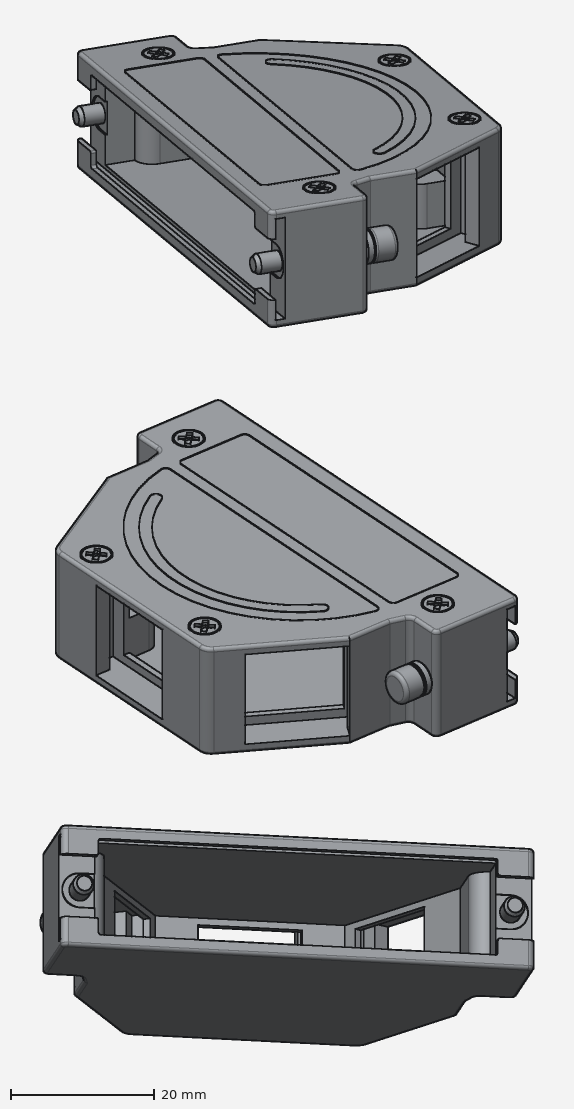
import cadquery as cq
import math

half_length = 33.55
half_height = 8.8
depth = 42.95
shoulder_y = 15.1
neck_half = 27.1
neck_start_y = 18.1
neck_end_y = 25.2
neck_foot_half = 28.0
slope_angle = 60.0
edge_round = 0.55
end_corner_round = 0.95
neck_foot_round = 1.0
back_corner_round = 2.15

cavity_half = 28.45
cavity_half_height = 7.0
cavity_throat_half = 25.8
cavity_round_start_y = 6.8
port_wall = 6.0

lip_thickness = 0.9
flange_slot_end_y = 2.3
flange_slot_half_height = 7.6
lip_opening_half = 28.3
lip_opening_round = 0.4
lip_gap_half_height = 4.55
lip_tip_round = 0.3

port_length = 14.75
port_lip_half_height = 6.0
port_outer_half_height = 7.4
port_mouth_depth = 2.4
port_groove_overlap = 2.4
port_lip_thickness = 1.0

post_radius = 2.15
post_x = port_length / 2 + post_radius
post_y = 33.55
post_top_z = -0.3

panel_depth = 0.15
panel_round = 0.8
label_half = 23.95
label_start_y = 2.95
label_end_y = 15.1
arc_center_y = 12.6
arc_radius = 24.5
arc_base_y = 17.1
rib_radius = 21.4
rib_width = 1.8
rib_half_angle = 60.0

case_screw_points = [(-27.8, 10.05), (27.8, 10.05), (-12.1, 39.1), (12.1, 39.1)]
case_screw_radius = 2.1
case_screw_gap = 0.2
case_screw_gap_depth = 0.2
cross_length = 2.9
cross_width = 0.8
cross_depth = 0.4
cross_hub_width = 1.35
cross_hub_depth = 0.8

jack_x = 30.5
jack_shaft_radius = 1.5
jack_tip_y = -1.3
jack_tip_chamfer = 0.4
jack_tip_length = 0.7
jack_collar_radius = 2.5
jack_collar_end_y = 16.25
jack_collar_chamfer = 0.2
jack_groove_radius = 2.35
jack_head_radius = 2.5
jack_head_start_y = 16.5
jack_head_end_y = 19.9
jack_head_top_round = 0.6
jack_head_base_round = 0.3
jack_seat_radius = jack_head_radius
jack_seat_depth = 0.3

slope_cos = math.cos(math.radians(slope_angle))
slope_sin = math.sin(math.radians(slope_angle))
back_half = neck_half - (depth - neck_end_y) * slope_cos / slope_sin


def box(x_range, y_range, z_half):
    """Box centred on Z = 0 with the given X and Y limits."""
    size_x = x_range[1] - x_range[0]
    size_y = y_range[1] - y_range[0]
    block = cq.Workplane("XY").box(size_x, size_y, 2 * z_half, centered=(False, False, True))
    return block.translate((x_range[0], y_range[0], 0))


def mirrored(solid):
    """The solid together with its mirror image across X = 0."""
    return solid.union(solid.mirror("YZ"))


def shell():
    right = [
        (half_length, 0),
        (half_length, shoulder_y),
        (neck_foot_half, shoulder_y),
        (neck_half, neck_start_y),
        (neck_half, neck_end_y),
        (back_half, depth),
    ]
    left = [(-x, y) for x, y in reversed(right)]
    body = cq.Workplane("XY").workplane(offset=-half_height)
    body = body.polyline(right + left).close().extrude(2 * half_height)
    rounds = [
        (right[0], end_corner_round),
        (right[1], end_corner_round),
        (right[2], neck_foot_round),
        (right[5], back_corner_round),
    ]
    for (x, y), radius in rounds:
        for side in (1, -1):
            corner = cq.selectors.NearestToPointSelector((side * x, y, 0))
            body = body.edges(corner).fillet(radius)
    return body.faces("|Z").edges().fillet(edge_round)


def sloping_inner_x(y):
    """X of the inner face of the right sloping wall."""
    return neck_half - port_wall / slope_sin - (y - neck_end_y) * slope_cos / slope_sin


def cavity():
    round_radius = cavity_half - cavity_throat_half
    round_end_y = cavity_round_start_y + round_radius
    round_mid = round_radius * math.sqrt(0.5)
    back_y = depth - port_wall
    slope_start_y = neck_end_y + (
        (neck_half - port_wall / slope_sin - cavity_throat_half) * slope_sin / slope_cos
    )
    half = (
        cq.Workplane("XY").workplane(offset=-cavity_half_height)
        .moveTo(0, flange_slot_end_y)
        .lineTo(cavity_half, flange_slot_end_y)
        .lineTo(cavity_half, cavity_round_start_y)
        .threePointArc(
            (cavity_half - round_mid, round_end_y - round_mid),
            (cavity_throat_half, round_end_y),
        )
        .lineTo(cavity_throat_half, slope_start_y)
        .lineTo(sloping_inner_x(back_y), back_y)
        .lineTo(0, back_y)
        .close()
        .extrude(2 * cavity_half_height)
    )
    return mirrored(half)


def mating_opening():
    slot = box((-half_length, half_length), (lip_thickness, flange_slot_end_y), flange_slot_half_height)
    lip = box((-lip_opening_half, lip_opening_half), (0, lip_thickness), cavity_half_height)
    lip = lip.edges("|Y").fillet(lip_opening_round)
    gap = box((-half_length, half_length), (0, lip_thickness), lip_gap_half_height)
    opening = lip.union(gap)
    for x in (-lip_opening_half, lip_opening_half):
        for z in (-lip_gap_half_height, lip_gap_half_height):
            tip = cq.selectors.NearestToPointSelector((x, lip_thickness / 2, z))
            opening = opening.edges(tip).fillet(lip_tip_round)
    return opening.union(slot)


def port_cutter():
    """Port through a wall whose outer face is Y = 0: mouth, wider insert groove and inner lip."""
    half = port_length / 2
    groove_half = half + port_groove_overlap
    groove_end = port_wall - port_lip_thickness
    mouth = box((-half, half), (-port_mouth_depth, 0), port_outer_half_height)
    groove = box((-groove_half, groove_half), (-groove_end, -port_mouth_depth), port_outer_half_height)
    lip = box((-half, half), (-port_wall, -groove_end), port_lip_half_height)
    return mouth.union(groove).union(lip)


def side_ports():
    """The ports of the two sloping walls; each mouth starts at the corner with the neck."""
    port = port_cutter().translate((port_length / 2, 0, 0))
    port = port.rotate((0, 0, 0), (0, 0, 1), slope_angle)
    return mirrored(port.translate((-neck_half, neck_end_y, 0)))


def back_port():
    return port_cutter().translate((0, depth, 0))


def post():
    height = post_top_z + cavity_half_height
    base = cq.Workplane("XY").workplane(offset=-cavity_half_height)
    column = base.center(post_x, post_y).circle(post_radius).extrude(height)
    web_length = depth - port_wall - post_y
    web = base.center(post_x, post_y + web_length / 2).rect(2 * post_radius, web_length).extrude(height)
    return column.union(web)


def label_panel():
    label = (
        cq.Workplane("XY").workplane(offset=half_height - panel_depth)
        .center(0, (label_start_y + label_end_y) / 2)
        .rect(2 * label_half, label_end_y - label_start_y)
        .extrude(panel_depth)
    )
    return label.edges("|Z").fillet(panel_round)


def arc_panel():
    """Circular segment panel with a curved rib left standing inside it."""
    plane = cq.Workplane("XY").workplane(offset=half_height - panel_depth)
    base_half = math.sqrt(arc_radius**2 - (arc_base_y - arc_center_y) ** 2)
    segment = (
        plane.moveTo(-base_half, arc_base_y)
        .threePointArc((0, arc_center_y + arc_radius), (base_half, arc_base_y))
        .close()
        .extrude(panel_depth)
        .edges("|Z").fillet(panel_round)
    )
    rib_sin = math.sin(math.radians(rib_half_angle))
    rib_cos = math.cos(math.radians(rib_half_angle))
    end_x = rib_radius * rib_sin
    end_y = arc_center_y + rib_radius * rib_cos
    outer_radius = rib_radius + rib_width / 2
    inner_radius = rib_radius - rib_width / 2
    ring = plane.center(0, arc_center_y).circle(outer_radius).circle(inner_radius).extrude(panel_depth)
    sector_side = arc_radius / rib_cos
    sector_x = sector_side * rib_sin
    sector_y = arc_center_y + sector_side * rib_cos
    sector = (
        plane.moveTo(0, arc_center_y)
        .lineTo(sector_x, sector_y)
        .lineTo(-sector_x, sector_y)
        .close()
        .extrude(panel_depth)
    )
    ends = plane.pushPoints([(-end_x, end_y), (end_x, end_y)]).circle(rib_width / 2).extrude(panel_depth)
    return segment.cut(ring.intersect(sector).union(ends))


def case_screw_recesses():
    gap = cq.Workplane("XY").workplane(offset=half_height - case_screw_gap_depth)
    gap = gap.circle(case_screw_radius + case_screw_gap).circle(case_screw_radius)
    head = gap.extrude(case_screw_gap_depth)
    cross = cq.Workplane("XY").workplane(offset=half_height)
    hub = cross.rect(cross_hub_width, cross_hub_width).extrude(-cross_hub_depth)
    head = head.union(hub)
    for angle in (45, 135):
        bar = cross.transformed(rotate=(0, 0, angle)).rect(cross_length, cross_width)
        head = head.union(bar.extrude(-cross_depth))
    recesses = cq.Workplane("XY")
    for x, y in case_screw_points:
        recesses = recesses.add(head.translate((x, y, 0)))
    return recesses.combine()


def jack_seats():
    """Shallow U-shaped seats around the jack screws, open towards the cavity."""
    y_range = (flange_slot_end_y, flange_slot_end_y + jack_seat_depth)
    arm = box((-jack_x, -cavity_half), y_range, jack_seat_radius)
    end = cq.Workplane("XZ", origin=(-jack_x, y_range[1], 0))
    end = end.circle(jack_seat_radius).extrude(jack_seat_depth)
    return mirrored(arm.union(end))


def jack_screws():
    def turned(radius, start_y, end_y):
        disc = cq.Workplane("XZ", origin=(-jack_x, end_y, 0)).circle(radius)
        return disc.extrude(end_y - start_y)

    shaft = turned(jack_shaft_radius, jack_tip_y, shoulder_y)
    shaft = shaft.faces("<Y").chamfer(jack_tip_length, jack_tip_chamfer)
    collar = turned(jack_collar_radius, shoulder_y, jack_collar_end_y)
    collar = collar.faces("<Y").edges().chamfer(jack_collar_chamfer)
    groove = turned(jack_groove_radius, jack_collar_end_y, jack_head_start_y)
    head = turned(jack_head_radius, jack_head_start_y, jack_head_end_y)
    head = head.faces(">Y").edges().fillet(jack_head_top_round)
    head = head.faces("<Y").edges().fillet(jack_head_base_round)
    return mirrored(shaft.union(collar).union(groove).union(head))


result = shell()
for cutter in (
    cavity(),
    mating_opening(),
    side_ports(),
    back_port(),
    label_panel(),
    arc_panel(),
    case_screw_recesses(),
    jack_seats(),
):
    result = result.cut(cutter)
result = result.union(post()).union(jack_screws())